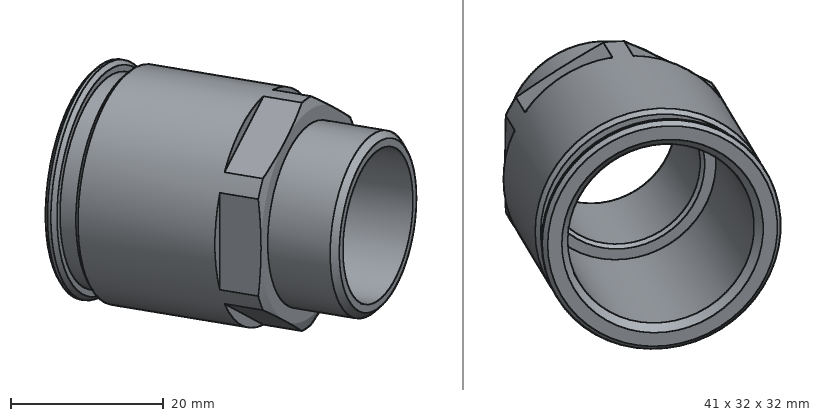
import cadquery as cq
import math


total_length = 41.0
spigot_length = 10.0
hex_length = 6.0
flange_width = 1.7
groove_width = 2.75
spigot_start = total_length - spigot_length
hex_start = spigot_start - hex_length
groove_end = flange_width + groove_width
wide_bore_depth = hex_start

body_diameter = 32.0
groove_diameter = 29.0
hex_across_flats = 29.0
spigot_diameter = 25.0
wide_bore_diameter = 25.0
through_bore_diameter = 21.0

rim_chamfer = 0.6
spigot_chamfer = 0.9
mouth_chamfer = 1.0
shoulder_chamfer = 0.5
hex_chamfer_angle = 15.0


def revolve_profile(profile):
    """Turn a closed (x, radius) profile around the X axis."""
    return profile.close().revolve(360, (0, 0, 0), (1, 0, 0))


def chamfered_disc(length, start, end_faces):
    """Body-diameter disc beginning at start, chamfered at the chosen ends."""
    disc = cq.Workplane("YZ", origin=(start, 0, 0)).circle(body_diameter / 2).extrude(length)
    return disc.faces(end_faces).edges().chamfer(rim_chamfer)


def cylinder(start, end, diameter):
    """Plain cylinder along X between two positions."""
    return cq.Workplane("YZ", origin=(start, 0, 0)).circle(diameter / 2).extrude(end - start)


def hex_section():
    """Wrench flats cut into the body diameter, with the +X end corners chamfered by a cone."""
    body_radius = body_diameter / 2
    end_radius = hex_across_flats / 2
    chamfer_length = (body_radius - end_radius) * math.tan(math.radians(hex_chamfer_angle))
    turned_blank = revolve_profile(
        cq.Workplane("XY")
        .moveTo(hex_start, 0)
        .lineTo(hex_start, body_radius)
        .lineTo(spigot_start - chamfer_length, body_radius)
        .lineTo(spigot_start, end_radius)
        .lineTo(spigot_start, 0)
    )
    across_corners = hex_across_flats / math.cos(math.pi / 6)
    hex_prism = (
        cq.Workplane("YZ", origin=(hex_start, 0, 0))
        .transformed(rotate=(0, 0, 90))
        .polygon(6, across_corners)
        .extrude(hex_length)
    )
    return turned_blank.intersect(hex_prism)


def stepped_bore():
    """Wide bore with a chamfered mouth, stepping down to the chamfered through bore."""
    wide_radius = wide_bore_diameter / 2
    through_radius = through_bore_diameter / 2
    return revolve_profile(
        cq.Workplane("XY")
        .moveTo(0, 0)
        .lineTo(0, wide_radius + mouth_chamfer)
        .lineTo(mouth_chamfer, wide_radius)
        .lineTo(wide_bore_depth, wide_radius)
        .lineTo(wide_bore_depth, through_radius + shoulder_chamfer)
        .lineTo(wide_bore_depth + shoulder_chamfer, through_radius)
        .lineTo(total_length, through_radius)
        .lineTo(total_length, 0)
    )


flange = chamfered_disc(flange_width, 0, "<X or >X")
groove_floor = cylinder(flange_width, groove_end, groove_diameter)
body = chamfered_disc(hex_start - groove_end, groove_end, "<X")
spigot = cylinder(spigot_start, total_length, spigot_diameter).faces(">X").edges().chamfer(spigot_chamfer)

result = (
    flange.union(groove_floor)
    .union(body)
    .union(hex_section())
    .union(spigot)
    .cut(stepped_bore())
)